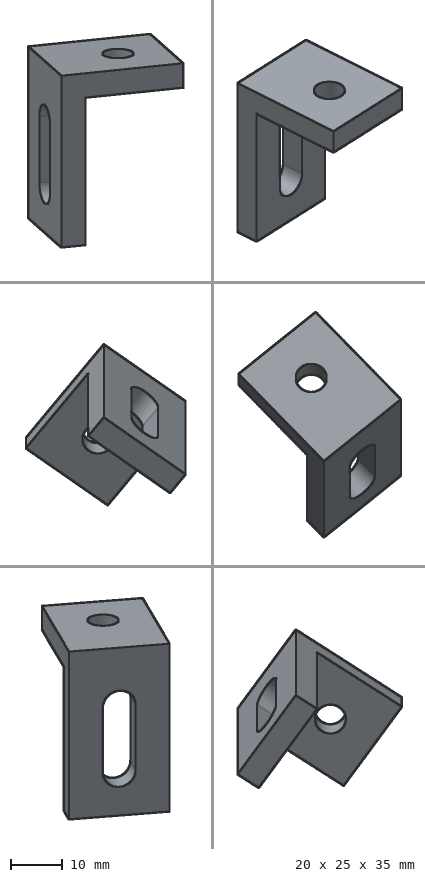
import cadquery as cq

width = 20.0
depth = 25.0
height = 35.0
thickness = 5.0

slot_width = 6.5
slot_length = 20.0
slot_bottom_margin = 6.0
slot_center_z = slot_bottom_margin + slot_length / 2

hole_diameter = 6.0
hole_back_distance = 10.0
hole_center_y = depth - hole_back_distance


def make_angle():
    """L-shaped body: front leg on y = 0, top leg reaching back to y = depth, centred on x = 0."""
    front_leg = cq.Workplane("XY").box(width, thickness, height, centered=(True, False, False))
    top_leg = (
        cq.Workplane("XY", origin=(0, 0, height - thickness))
        .box(width, depth, thickness, centered=(True, False, False))
    )
    return front_leg.union(top_leg)


def make_slot_cutter():
    """Round-ended upright slot running through the front leg along Y."""
    return (
        cq.Workplane("XZ", origin=(0, thickness, slot_center_z))
        .slot2D(slot_length, slot_width, angle=90)
        .extrude(thickness)
    )


def make_hole_cutter():
    """Plain cylinder running through the top leg along Z."""
    return (
        cq.Workplane("XY", origin=(0, hole_center_y, height - thickness))
        .circle(hole_diameter / 2)
        .extrude(thickness)
    )


result = make_angle().cut(make_slot_cutter()).cut(make_hole_cutter())